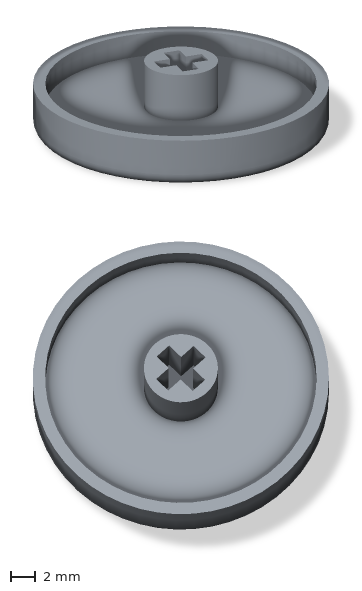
import cadquery as cq

overall_diameter = 24.0
wall_thickness = overall_diameter / 24
stem_diameter = overall_diameter / 4
stem_top = 6.0
cross_length = 4.2
cross_width = 1.4

edge_radius = wall_thickness
base_thickness = edge_radius
floor_top = 2 * wall_thickness
wall_top = 4 * wall_thickness
inner_diameter = overall_diameter - 2 * wall_thickness


def make_disc(diameter, bottom, top):
    """Upright cylinder centred on the Z axis."""
    return cq.Workplane("XY").workplane(offset=bottom).circle(diameter / 2).extrude(top - bottom)


def make_bar(length_x, length_y, bottom, top):
    """Upright rectangular bar centred on the Z axis."""
    return cq.Workplane("XY").workplane(offset=bottom).rect(length_x, length_y).extrude(top - bottom)


def make_base():
    """Disc with a rounded lower edge and a raised floor that fits inside the wall."""
    blank = make_disc(overall_diameter, 0, floor_top).faces("<Z").edges().fillet(edge_radius)
    ledge = make_disc(overall_diameter, base_thickness, floor_top)
    ledge = ledge.cut(make_disc(inner_diameter, base_thickness, floor_top))
    return blank.cut(ledge)


def make_wall():
    """Ring standing on the outer ledge of the base."""
    outer = make_disc(overall_diameter, base_thickness, wall_top)
    return outer.cut(make_disc(inner_diameter, base_thickness, wall_top))


def make_stem():
    """Round post on the floor, with a cross-shaped socket through its full height."""
    stem = make_disc(stem_diameter, floor_top, stem_top)
    stem = stem.cut(make_bar(cross_length, cross_width, floor_top, stem_top))
    return stem.cut(make_bar(cross_width, cross_length, floor_top, stem_top))


base = make_base()
wall = make_wall()
stem = make_stem()

result = cq.Compound.makeCompound([base.val(), wall.val(), stem.val()])